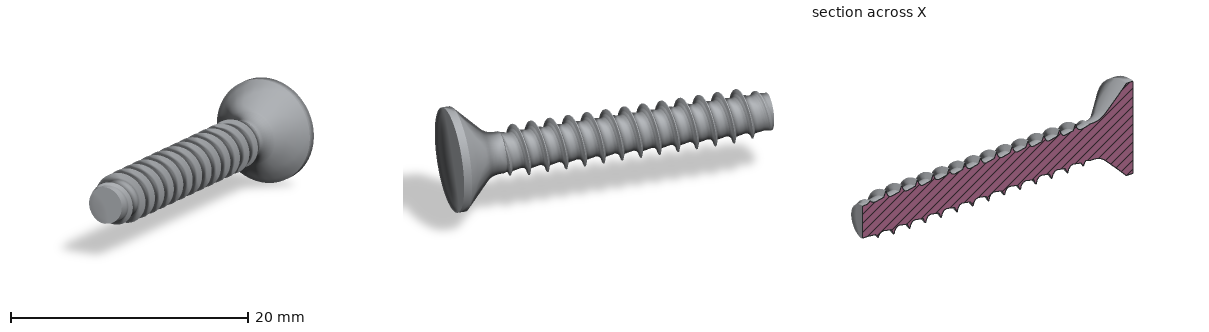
import cadquery as cq
import math


length = 28.0
head_diameter = 9.0
head_radius = head_diameter / 2
head_rim = 0.7
cone_angle = math.radians(45)
neck_radius = 1.8
neck_fillet = 1.8
neck_end = 4.5
collar_radius = 1.75
collar_end = 5.3

full_turns = 12
full_length = 19.6
pitch = full_length / full_turns
lead_in_turns = 1.0
run_out_turns = 1.5
core_radius = 1.57
thread_diameter = 4.5
first_full_crest = 5.95

head_root = -0.53
head_hollow = -0.3
head_break = -0.15
half_crest = 0.035
shoulder = 0.25
taper_end = 1.05

crest_height = thread_diameter / 2 - core_radius
break_height = 0.3
hollow_height = 0.07
shoulder_height = 0.155
root_height = -0.005
foot_height = -0.17

lead_in_crest_height = 0.35
lead_in_break_height = 0.17
run_out_crest_height = 0.042
run_out_break_height = 0.03
run_out_hollow_height = 0.015


def revolve_outline(outline):
    """Turn a closed (radius, depth) outline about the screw axis."""
    return outline.close().revolve(360, (0, 0, 0), (0, 1, 0))


def head_and_shank():
    """Countersunk head, filleted neck, collar and plain core."""
    cone_foot = head_rim + (head_radius - neck_radius) / math.tan(cone_angle)
    tangent = neck_fillet * math.tan(cone_angle / 2)
    fillet_start_radius = neck_radius + tangent * math.sin(cone_angle)
    fillet_start = cone_foot - tangent * math.cos(cone_angle)
    fillet_end = cone_foot + tangent
    centre_radius = neck_radius + neck_fillet
    arc_mid_radius = centre_radius - neck_fillet * math.cos(cone_angle / 2)
    arc_mid = fillet_end - neck_fillet * math.sin(cone_angle / 2)
    return revolve_outline(
        cq.Workplane("XZ")
        .moveTo(0, 0)
        .lineTo(head_radius, 0)
        .lineTo(head_radius, head_rim)
        .lineTo(fillet_start_radius, fillet_start)
        .threePointArc((arc_mid_radius, arc_mid), (neck_radius, fillet_end))
        .lineTo(neck_radius, neck_end)
        .lineTo(collar_radius, neck_end)
        .lineTo(core_radius, collar_end)
        .lineTo(core_radius, length)
        .lineTo(0, length)
    )


def ridge_section(crest, break_point, hollow, shoulder_point):
    """Section of the ridge as (radius, axial offset) corners, for the given heights."""
    corners = [
        (foot_height, head_root),
        (root_height, head_root),
        (hollow, head_hollow),
        (break_point, head_break),
        (crest, -half_crest),
        (crest, half_crest),
        (shoulder_point, shoulder),
        (root_height, taper_end),
        (foot_height, taper_end),
    ]
    return [(core_radius + height, offset) for height, offset in corners]


def helix_edge(start_radius, end_radius, start_depth, turns):
    """Right-hand helix about the axis whose radius changes evenly along it."""
    rise = turns * pitch
    base = cq.Vector(0, 0, start_depth)
    if start_radius == end_radius:
        return cq.Wire.makeHelix(pitch, rise, start_radius, base).Edges()[0]
    slope = math.atan2(end_radius - start_radius, rise)
    slant = 1 / math.cos(slope)
    wire = cq.Wire.makeHelix(pitch * slant, rise * slant, start_radius, base, angle=math.degrees(slope))
    return wire.Edges()[0]


def ridge(start_section, end_section, start_depth, turns):
    """Helical solid that blends evenly from one section to another."""
    edges = [
        helix_edge(start_radius, end_radius, start_depth + offset, turns)
        for (start_radius, offset), (end_radius, _) in zip(start_section, end_section)
    ]
    faces = [
        cq.Face.makeRuledSurface(edge, following)
        for edge, following in zip(edges, edges[1:] + edges[:1])
    ]
    for corners in ([edge.startPoint() for edge in edges], [edge.endPoint() for edge in edges]):
        faces.append(cq.Face.makeFromWires(cq.Wire.makePolygon(corners, close=True)))
    solid = cq.Solid.makeSolid(cq.Shell.makeShell(faces))
    return cq.Workplane(solid.fix()).rotate((0, 0, 0), (0, 0, 1), 90)


def threaded_length():
    """Space the thread may fill, from the neck to the tip."""
    return cq.Workplane("XY", origin=(0, 0, neck_end)).circle(head_radius).extrude(length - neck_end)


full_section = ridge_section(crest_height, break_height, hollow_height, shoulder_height)
lead_in_section = ridge_section(
    lead_in_crest_height, lead_in_break_height, hollow_height, shoulder_height
)
run_out_section = ridge_section(
    run_out_crest_height, run_out_break_height, run_out_hollow_height, root_height
)

screw = head_and_shank()
lead_in_depth = first_full_crest - lead_in_turns * pitch
lead_in = ridge(lead_in_section, full_section, lead_in_depth, lead_in_turns)
screw = screw.union(lead_in.intersect(threaded_length()))

full_turn = ridge(full_section, full_section, first_full_crest, 1)
for turn in range(full_turns):
    screw = screw.union(full_turn.translate((0, 0, turn * pitch)))

run_out_depth = first_full_crest + full_turns * pitch
run_out = ridge(full_section, run_out_section, run_out_depth, run_out_turns)
screw = screw.union(run_out.intersect(threaded_length()))

result = screw.rotate((0, 0, 0), (1, 0, 0), 90)